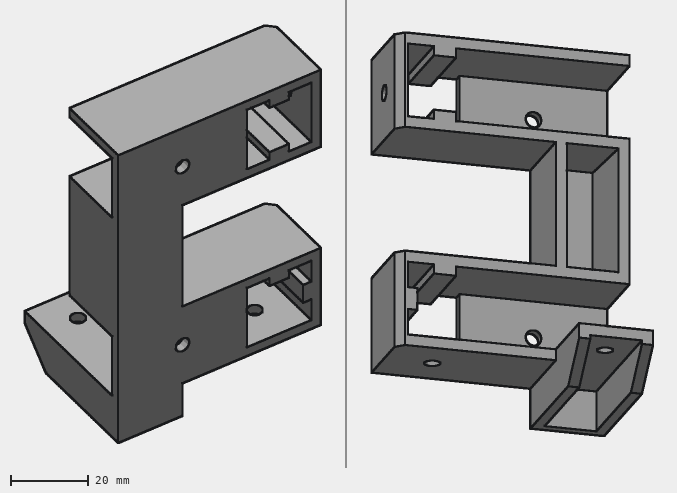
import cadquery as cq

TOTAL_HEIGHT = 97.0
TOTAL_WIDTH = 44.0
TOTAL_DEPTH = 63.0
WALL = 3.0
BAY_HEIGHT = 20.0
BODY_WIDTH = 23.0
FOOT_DEPTH = 20.0
FOOT_TIP_HEIGHT = 4.0
FOOT_SLOPE = 10.0
FOOT_HOLE_OFFSET = 10.0
WINDOW_DEPTH = 20.0
RIB_WIDTH = 6.0
RIB_HEIGHT = 2.5
HOLE_DIAMETER = 4.2
END_CHAMFER = 2.2
POST_TAPER = 1.0

body_x = TOTAL_WIDTH - BODY_WIDTH
back_wall_x = TOTAL_WIDTH - WALL
body_center_x = body_x + BODY_WIDTH / 2
bay_center_y = TOTAL_DEPTH - WALL - WINDOW_DEPTH / 2
wall_hole_y = FOOT_DEPTH
frame_height = BAY_HEIGHT + 2 * WALL
upper_frame_z = TOTAL_HEIGHT - frame_height
foot_top_z = FOOT_TIP_HEIGHT + FOOT_SLOPE
lower_frame_z = foot_top_z - WALL
post_z = lower_frame_z + frame_height


def box(x0, x1, y0, y1, z0, z1):
    """Box between opposite corner coordinates."""
    return cq.Workplane("XY").box(x1 - x0, y1 - y0, z1 - z0, centered=False).translate((x0, y0, z0))


def vertical_hole(x, y, z0, height):
    return cq.Workplane("XY", origin=(x, y, z0)).circle(HOLE_DIAMETER / 2).extrude(height)


def frame(z0):
    """Bay open toward -X and -Y, with a window and a screw hole in its back wall."""
    bay_z = z0 + WALL
    bay_top = bay_z + BAY_HEIGHT
    bay_end_y = TOTAL_DEPTH - WALL
    outer = box(body_x, TOTAL_WIDTH, 0, TOTAL_DEPTH, z0, z0 + frame_height)
    outer = outer.edges("|Z and <X and >Y").chamfer(END_CHAMFER)
    bay = box(body_x, back_wall_x, 0, bay_end_y, bay_z, bay_top)
    window = box(body_x, TOTAL_WIDTH, bay_end_y - WINDOW_DEPTH, bay_end_y, bay_z, bay_top)
    wall_hole = (
        cq.Workplane("YZ", origin=(back_wall_x, wall_hole_y, bay_z + BAY_HEIGHT / 2))
        .circle(HOLE_DIAMETER / 2)
        .extrude(WALL)
    )
    return outer.cut(bay).cut(window).cut(wall_hole)


def horizontal_rib(z0):
    """Rib along X on the floor or ceiling of a bay."""
    y0 = bay_center_y - RIB_WIDTH / 2
    return box(body_x, TOTAL_WIDTH, y0, y0 + RIB_WIDTH, z0, z0 + RIB_HEIGHT)


def end_rib(z_center):
    """Rib along X on the end wall of a bay."""
    y1 = TOTAL_DEPTH - WALL
    half = RIB_WIDTH / 2
    return box(body_x, TOTAL_WIDTH, y1 - RIB_HEIGHT, y1, z_center - half, z_center + half)


def post():
    """Channel joining the two frames, open toward -X and narrowing toward its floor."""
    outer = box(body_x, TOTAL_WIDTH, 0, FOOT_DEPTH, post_z, upper_frame_z)
    pocket = (
        cq.Workplane("XY", origin=(0, 0, post_z))
        .moveTo(body_x, WALL)
        .lineTo(back_wall_x, WALL + POST_TAPER)
        .lineTo(back_wall_x, FOOT_DEPTH - WALL - POST_TAPER)
        .lineTo(body_x, FOOT_DEPTH - WALL)
        .close()
        .extrude(upper_frame_z - post_z)
    )
    return outer.cut(pocket)


def foot():
    """Sloped foot, hollow underneath, with a screw hole near its tip."""
    outer = (
        cq.Workplane("XZ")
        .moveTo(0, foot_top_z)
        .lineTo(TOTAL_WIDTH, foot_top_z)
        .lineTo(TOTAL_WIDTH, 0)
        .lineTo(FOOT_SLOPE, 0)
        .lineTo(0, FOOT_SLOPE)
        .close()
        .extrude(-FOOT_DEPTH)
    )
    hollow = box(0, back_wall_x, WALL, FOOT_DEPTH - WALL, 0, lower_frame_z)
    hole = vertical_hole(FOOT_HOLE_OFFSET, FOOT_DEPTH / 2, lower_frame_z, WALL)
    return outer.cut(hollow).cut(hole)


end_wall_hole = (
    cq.Workplane("XZ", origin=(body_center_x, TOTAL_DEPTH, upper_frame_z + frame_height / 2))
    .circle(HOLE_DIAMETER / 2)
    .extrude(WALL)
)
upper_frame = frame(upper_frame_z).cut(end_wall_hole)

lower_frame = frame(lower_frame_z).cut(
    vertical_hole(body_center_x, bay_center_y, lower_frame_z, WALL)
)

result = lower_frame.union(upper_frame).union(post()).union(foot())

result = result.union(horizontal_rib(upper_frame_z + WALL))
for frame_z in (lower_frame_z, upper_frame_z):
    result = result.union(horizontal_rib(frame_z + WALL + BAY_HEIGHT - RIB_HEIGHT))
result = result.union(end_rib(lower_frame_z + frame_height / 2))
result = result.clean()